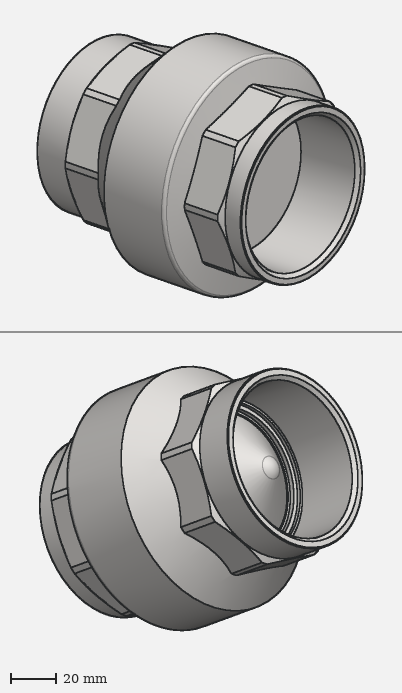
import cadquery as cq
import math

length = 121.0

bulge_diameter = 111.5
bulge_radius = bulge_diameter / 2
bulge_start = 53.0
bulge_end = 88.3
inlet_cone_angle = 40.2
outlet_cone_angle = 9.5
bulge_edge_radius = 1.7
cone_foot_radius = 39.9

octagon_across_flats = 82.8
octagon_corner_radius = 44.2
octagon_start = 18.0
octagon_end = 111.6
octagon_chamfer_angle = 60.0

collar_radius = 41.1
collar_edge_break = 0.42

bore_radius = 36.2
bore_depth = 33.6
mouth_chamfer = 1.8

outer_step_radius = 34.8
outer_step_depth = 35.5
inner_step_radius = 32.7
inner_step_depth = 37.8
seat_radius = 31.3
seat_depth = 38.1

plug_radius = 31.0
nose_edge_radius = 5.2
nose_edge_depth = 15.9


def revolve_about_axis(outline):
    """Revolve an outline drawn as (position along X, radius) about the X axis."""
    return outline.close().revolve(360, (0, 0, 0), (1, 0, 0))


def turned(points):
    return revolve_about_axis(cq.Workplane("XY").polyline(points))


def cylinder(start, end, radius):
    return cq.Workplane("YZ", origin=(start, 0, 0)).circle(radius).extrude(end - start)


def make_collars():
    return cylinder(0, length, collar_radius).edges("%CIRCLE").chamfer(collar_edge_break)


def make_octagon():
    sides = 8
    corner_distance = octagon_across_flats / math.cos(math.pi / sides)
    prism = (
        cq.Workplane("YZ", origin=(octagon_start, 0, 0))
        .polygon(sides, corner_distance)
        .extrude(octagon_end - octagon_start)
    )
    chamfer_height = octagon_corner_radius - collar_radius
    chamfer_length = chamfer_height / math.tan(math.radians(octagon_chamfer_angle))
    envelope = turned([
        (octagon_start, 0),
        (octagon_start, collar_radius),
        (octagon_start + chamfer_length, octagon_corner_radius),
        (octagon_end - chamfer_length, octagon_corner_radius),
        (octagon_end, collar_radius),
        (octagon_end, 0),
    ])
    return prism.intersect(envelope)


def make_bulge():
    cone_height = bulge_radius - cone_foot_radius
    inlet_foot = bulge_start - cone_height / math.tan(math.radians(inlet_cone_angle))
    outlet_foot = bulge_end + cone_height * math.tan(math.radians(outlet_cone_angle))
    bulge = turned([
        (inlet_foot, 0),
        (inlet_foot, cone_foot_radius),
        (bulge_start, bulge_radius),
        (bulge_end, bulge_radius),
        (outlet_foot, cone_foot_radius),
        (outlet_foot, 0),
    ])
    outlet_rim = bulge.edges("%CIRCLE").edges(">>X[-2]")
    return outlet_rim.fillet(bulge_edge_radius)


def make_inlet_socket():
    return turned([
        (0, 0),
        (0, bore_radius + mouth_chamfer),
        (mouth_chamfer, bore_radius),
        (bore_depth, bore_radius),
        (bore_depth, outer_step_radius),
        (outer_step_depth, outer_step_radius),
        (outer_step_depth, inner_step_radius),
        (inner_step_depth, inner_step_radius),
        (inner_step_depth, seat_radius),
        (seat_depth, seat_radius),
        (seat_depth, 0),
    ])


def make_outlet_socket():
    return turned([
        (length, 0),
        (length, bore_radius + mouth_chamfer),
        (length - mouth_chamfer, bore_radius),
        (length - bore_depth, bore_radius),
        (length - bore_depth, 0),
    ])


def make_plug():
    cone_length = seat_depth - nose_edge_depth
    half_angle = math.atan2(plug_radius - nose_edge_radius, cone_length)
    nose_radius = nose_edge_radius / math.cos(half_angle)
    nose_center = nose_edge_depth + nose_radius * math.sin(half_angle)
    middle_angle = (math.pi / 2 + half_angle) / 2
    nose_middle = (
        nose_center - nose_radius * math.sin(middle_angle),
        nose_radius * math.cos(middle_angle),
    )
    outline = (
        cq.Workplane("XY")
        .moveTo(nose_center - nose_radius, 0)
        .threePointArc(nose_middle, (nose_edge_depth, nose_edge_radius))
        .lineTo(seat_depth, plug_radius)
        .lineTo(seat_depth, 0)
    )
    return revolve_about_axis(outline)


body = make_collars().union(make_octagon()).union(make_bulge())
result = body.cut(make_inlet_socket()).cut(make_outlet_socket()).union(make_plug())